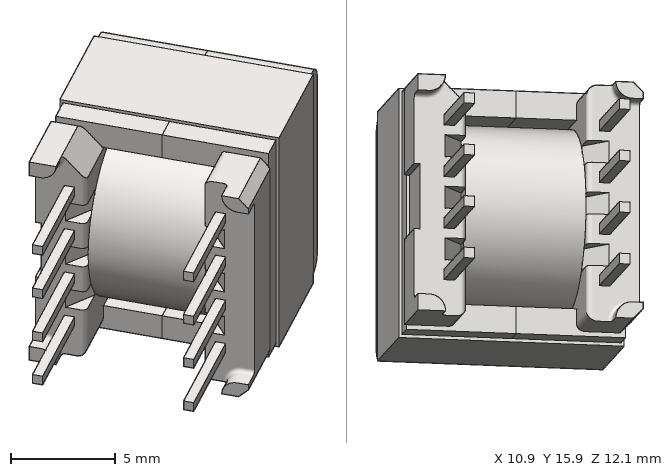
import cadquery as cq

core_width = 10.6
core_depth = 7.91
core_height = 11.81
core_back_radius = 0.8
tape_thickness = 0.16
tape_length = 5.56

winding_radius = 4.45
winding_half_length = 2.92
winding_axis_y = 1.95
window_radius = 4.59
flange_thickness = 0.48
barrel_radius = 1.9
window_half_width = winding_half_length + flange_thickness

rail_outer_x = core_width / 2 + tape_thickness
rail_inner_x = winding_half_length
rail_width = rail_outer_x - rail_inner_x
rail_center_x = (rail_outer_x + rail_inner_x) / 2
rail_half_height = 5.75
rail_depth = 2.8
back_radius = 0.35
front_radius = 0.27
right_back_chamfer = 0.3
inner_corner_radius = 0.5
outer_corner_chamfer = 0.5
recess_depth = 0.29
recess_height = 3.18

foot_length = 1.33
foot_height = 0.8
foot_depth = 1.0
foot_base_radius = 0.2
marker_chamfer = rail_width - foot_length

pin_count = 4
pin_pitch = 2.51
pin_size = 0.51
pin_x = 3.76
pin_tip_y = core_depth - 15.88
notch_width = 1.06
notch_length = 1.05
notch_depth = rail_depth / 2

selector_margin = 0.02


def barrel(radius, half_length):
    """Cylinder on the winding axis, centred on X = 0."""
    return cq.Workplane("YZ", origin=(-half_length, winding_axis_y, 0)).circle(radius).extrude(2 * half_length)


def window_shape(half_length):
    """Round-backed block that is open to the front face, centred on X = 0."""
    round_back = barrel(window_radius, half_length)
    mouth = cq.Workplane("XY").box(
        2 * half_length, winding_axis_y, 2 * window_radius, centered=(True, False, True)
    )
    behind_front = cq.Workplane("XY").box(
        2 * half_length, core_depth, core_height, centered=(True, False, True)
    )
    return round_back.union(mouth).intersect(behind_front)


def make_core_half(side):
    """Half of the core on the given side of X = 0 (-1 or 1)."""
    half_width = core_width / 2
    block = (
        cq.Workplane("XY")
        .box(half_width, core_depth, core_height, centered=(True, False, True))
        .edges("|X and >Y")
        .fillet(core_back_radius)
        .translate((side * half_width / 2, 0, 0))
    )
    return block.cut(window_shape(window_half_width))


def make_tape():
    """Closed band around the middle of the core."""
    return (
        cq.Workplane("XZ", origin=(0, (core_depth - tape_length) / 2, 0))
        .rect(core_width + 2 * tape_thickness, core_height + 2 * tape_thickness)
        .rect(core_width, core_height)
        .extrude(-tape_length)
    )


def make_winding():
    """Copper cylinder, hollow where the bobbin barrel passes through."""
    return barrel(winding_radius, winding_half_length).cut(
        barrel(barrel_radius, winding_half_length)
    )


def rail_with_feet():
    """Plain rail block on the +X side with a filleted foot at each end."""
    rail = (
        cq.Workplane("XY")
        .box(rail_width, rail_depth, 2 * rail_half_height)
        .edges("|Z and <X and <Y")
        .fillet(front_radius)
    )
    rail = rail.translate((rail_center_x, -rail_depth / 2, 0))
    for end in (-1, 1):
        foot = (
            cq.Workplane("XZ", origin=(0, -rail_depth, 0))
            .moveTo(rail_outer_x, end * rail_half_height)
            .hLine(-foot_length)
            .radiusArc(
                (rail_outer_x - foot_length + foot_height, end * (rail_half_height - foot_height)),
                -end * foot_height,
            )
            .hLineTo(rail_outer_x)
            .close()
            .extrude(foot_depth)
        )
        rail = rail.union(foot)
    base_edges = cq.selectors.BoxSelector(
        (
            rail_outer_x - foot_length - selector_margin,
            -rail_depth - selector_margin,
            selector_margin - rail_half_height,
        ),
        (
            rail_outer_x - selector_margin,
            -rail_depth + selector_margin,
            rail_half_height - selector_margin,
        ),
    )
    return rail.edges(base_edges).fillet(foot_base_radius)


def make_wire_notch(notch_z):
    """Wedge whose floor slopes from the front face back to the inner face of the rail."""
    return (
        cq.Workplane("XY", origin=(0, 0, notch_z))
        .moveTo(rail_inner_x, -rail_depth)
        .hLine(notch_length)
        .lineTo(rail_inner_x, notch_depth - rail_depth)
        .close()
        .extrude(notch_width / 2, both=True)
    )


def make_rail():
    """Rail on the +X side with feet and wire notches, its outline still square."""
    rail = rail_with_feet()
    for index in range(pin_count - 1):
        notch_z = (index - (pin_count - 2) / 2) * pin_pitch
        rail = rail.cut(make_wire_notch(notch_z))
    return rail


def outline_block():
    """Block around a +X rail and its feet, for shaping the outer edges."""
    reach = rail_depth + foot_depth
    block = cq.Workplane("XY").box(rail_width, reach, 2 * rail_half_height)
    return block.translate((rail_center_x, -reach / 2, 0))


def make_right_rail():
    """Rail at +X: both inner corners rounded, both outer corners chamfered, back edges eased."""
    outer_edges = (
        outline_block()
        .edges("|Y and >X")
        .chamfer(outer_corner_chamfer)
        .faces(">Y")
        .edges("not <X")
        .fillet(back_radius)
    )
    beveled_back = outline_block().edges("|Z and >X and >Y").chamfer(right_back_chamfer)
    inner_corners = outline_block().edges("|Y and <X").fillet(inner_corner_radius)
    return make_rail().intersect(outer_edges).intersect(beveled_back).intersect(inner_corners)


def make_left_rail():
    """Rail at -X: pin 1 corner cut at the top, and a recess in the outer face."""
    outer_edges = outline_block().faces(">Y").edges("not <X").fillet(back_radius)
    inner_corners = (
        outline_block()
        .edges("|Y and <X and <Z")
        .fillet(inner_corner_radius)
        .edges("|Y and <X and >Z")
        .chamfer(marker_chamfer)
    )
    recess = cq.Workplane("XY").box(2 * recess_depth, 2 * rail_depth, recess_height)
    recess = recess.translate((rail_outer_x, -rail_depth / 2, 0))
    return make_rail().intersect(outer_edges).intersect(inner_corners).cut(recess).mirror("YZ")


def make_pins():
    """Square pins in front of both rails, one solid each."""
    pins = []
    length = -rail_depth - pin_tip_y
    for side in (-1, 1):
        for index in range(pin_count):
            pin_z = (index - (pin_count - 1) / 2) * pin_pitch
            pin = cq.Workplane("XY").box(pin_size, length, pin_size)
            pins.append(pin.translate((side * pin_x, pin_tip_y + length / 2, pin_z)))
    return pins


def make_bobbin():
    """Barrel with end flanges, a rail in front of each flange, and the fixed pins."""
    flanges = window_shape(window_half_width).cut(
        cq.Workplane("XY").box(2 * winding_half_length, 2 * core_depth, core_height)
    )
    bobbin = barrel(barrel_radius, window_half_width).union(flanges)
    bobbin = bobbin.union(make_left_rail()).union(make_right_rail())
    for pin in make_pins():
        bobbin = bobbin.union(pin)
    return bobbin


core_halves = [make_core_half(side) for side in (-1, 1)]
tape = make_tape()
winding = make_winding()
bobbin = make_bobbin()

result = cq.Compound.makeCompound(
    [*[half.val() for half in core_halves], tape.val(), winding.val(), bobbin.val()]
)